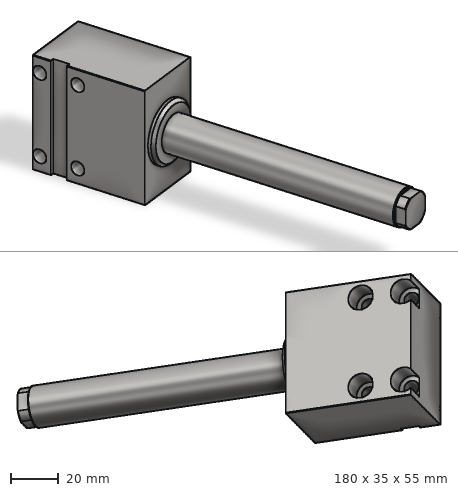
import cadquery as cq

BLOCK_LENGTH = 56.0
BLOCK_DEPTH = 35.0
BLOCK_HEIGHT = 55.0
BLOCK_CHAMFER = 0.3

KEYWAY_START = 9.0
KEYWAY_WIDTH = 8.0
KEYWAY_DEPTH = 2.0

SCREW_HOLE_DIAMETER = 6.6
SCREW_HEAD_DIAMETER = 11.0
SCREW_HEAD_DEPTH = 10.0
SCREW_FIRST_X = 3.5
SCREW_SPACING_X = 19.0
SCREW_SPACING_Z = 40.0

COLLAR_DIAMETER = 30.0
COLLAR_LENGTH = 3.0
COLLAR_CHAMFER = 1.5

TOTAL_LENGTH = 180.0
ROD_DIAMETER = 18.0
ROD_CHAMFER = 0.5
WRENCH_LENGTH = 5.0
WRENCH_DIAMETER = 17.0
WRENCH_FLATS = 15.0
WRENCH_CHAMFER = 0.3


def screw_positions():
    """X, Z places of the four mounting screws."""
    places = []
    for x in (SCREW_FIRST_X, SCREW_FIRST_X + SCREW_SPACING_X):
        for z in (-SCREW_SPACING_Z / 2, SCREW_SPACING_Z / 2):
            places.append((x, z))
    return places


def x_cylinder(diameter, start, length):
    """Cylinder on the rod axis, from x = start."""
    return cq.Workplane("YZ", origin=(start, 0, 0)).circle(diameter / 2).extrude(length)


def make_housing():
    """Block with chamfered long edges, a keyway and four counterbored screw holes."""
    block = cq.Workplane("XY").box(
        BLOCK_LENGTH, BLOCK_DEPTH, BLOCK_HEIGHT, centered=(False, True, True)
    )
    block = block.edges("|X").chamfer(BLOCK_CHAMFER)
    keyway = (
        cq.Workplane("XY")
        .box(KEYWAY_WIDTH, KEYWAY_DEPTH, BLOCK_HEIGHT, centered=(False, False, True))
        .translate((KEYWAY_START, -BLOCK_DEPTH / 2, 0))
    )
    block = block.cut(keyway)
    screw_plane = cq.Workplane("XZ", origin=(0, BLOCK_DEPTH / 2, 0)).pushPoints(screw_positions())
    holes = screw_plane.circle(SCREW_HOLE_DIAMETER / 2).extrude(BLOCK_DEPTH)
    counterbores = screw_plane.circle(SCREW_HEAD_DIAMETER / 2).extrude(SCREW_HEAD_DEPTH)
    return block.cut(holes).cut(counterbores)


def make_collar():
    """Ring seated on the block, chamfered at its outer rim, with a bore for the rod."""
    ring = x_cylinder(COLLAR_DIAMETER, BLOCK_LENGTH, COLLAR_LENGTH)
    ring = ring.faces(">X").chamfer(COLLAR_CHAMFER)
    return ring.cut(x_cylinder(ROD_DIAMETER, BLOCK_LENGTH, COLLAR_LENGTH))


def make_rod():
    """Rod from the block face to the tip, ending in four wrench flats."""
    shaft_end = TOTAL_LENGTH - WRENCH_LENGTH
    shaft = x_cylinder(ROD_DIAMETER, BLOCK_LENGTH, shaft_end - BLOCK_LENGTH)
    shaft = shaft.faces(">X").chamfer(ROD_CHAMFER)
    flats = cq.Workplane("YZ", origin=(shaft_end, 0, 0)).rect(WRENCH_FLATS, WRENCH_FLATS)
    wrench_end = x_cylinder(WRENCH_DIAMETER, shaft_end, WRENCH_LENGTH)
    wrench_end = wrench_end.faces(">X").chamfer(WRENCH_CHAMFER)
    wrench_end = wrench_end.intersect(flats.extrude(WRENCH_LENGTH))
    return shaft.union(wrench_end)


housing = make_housing()
collar = make_collar()
rod = make_rod()

result = cq.Compound.makeCompound([housing.val(), collar.val(), rod.val()])